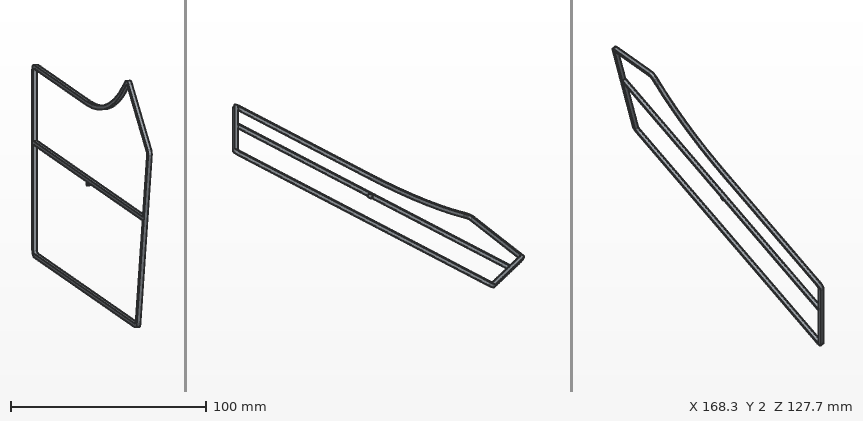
import cadquery as cq
import math

thickness = 2.0
rail_width = 2.0
corner_radius = 3.4

left_top = 102.2
bottom_length = 151.3
right_lean = math.radians(10)
sweep_start_x = 79.1
sweep_radius = 74.7
sweep_angle = math.radians(45)
peak_x = 137.0

cross_rail_bottom = 59.5
nub_x = 79.5
nub_radius = 1.2
nub_drop = 2.0


def frame_outline():
    """Solid plate bounded by the outer outline, with all five corners rounded."""
    sweep_mid_x = sweep_start_x + sweep_radius * math.sin(sweep_angle / 2)
    sweep_mid_z = left_top + sweep_radius * (1 - math.cos(sweep_angle / 2))
    sweep_end_x = sweep_start_x + sweep_radius * math.sin(sweep_angle)
    sweep_end_z = left_top + sweep_radius * (1 - math.cos(sweep_angle))

    peak_z = sweep_end_z + (peak_x - sweep_end_x) * math.tan(sweep_angle)

    lean = math.tan(right_lean)
    shoulder_z = (peak_x + peak_z - bottom_length) / (1 + lean)
    shoulder_x = bottom_length + lean * shoulder_z

    plate = (
        cq.Workplane("XZ")
        .lineTo(bottom_length, 0)
        .lineTo(shoulder_x, shoulder_z)
        .lineTo(peak_x, peak_z)
        .lineTo(sweep_end_x, sweep_end_z)
        .threePointArc((sweep_mid_x, sweep_mid_z), (sweep_start_x, left_top))
        .lineTo(0, left_top)
        .close()
        .extrude(-thickness)
    )
    corners = [
        (0, 0),
        (bottom_length, 0),
        (shoulder_x, shoulder_z),
        (peak_x, peak_z),
        (0, left_top),
    ]
    for x, z in corners:
        corner_edge = cq.selectors.NearestToPointSelector((x, thickness / 2, z))
        plate = plate.edges(corner_edge).fillet(corner_radius)
    return plate


def cross_rail(plate):
    """Horizontal rail trimmed to the outer outline."""
    rail = cq.Workplane("XY").box(
        plate.val().BoundingBox().xmax, thickness, rail_width, centered=False
    )
    return rail.translate((0, 0, cross_rail_bottom)).intersect(plate)


def nub():
    """Tab with a round lower end, rooted in the cross rail."""
    round_center_z = cross_rail_bottom - nub_drop + nub_radius
    root_z = cross_rail_bottom + rail_width / 2
    return (
        cq.Workplane("XZ")
        .moveTo(nub_x - nub_radius, root_z)
        .lineTo(nub_x - nub_radius, round_center_z)
        .threePointArc((nub_x, round_center_z - nub_radius), (nub_x + nub_radius, round_center_z))
        .lineTo(nub_x + nub_radius, root_z)
        .close()
        .extrude(-thickness)
    )


plate = frame_outline()
opening = plate.faces("<Y").wires().toPending().offset2D(-rail_width).extrude(-thickness, combine=False)
result = plate.cut(opening).union(cross_rail(plate)).union(nub())